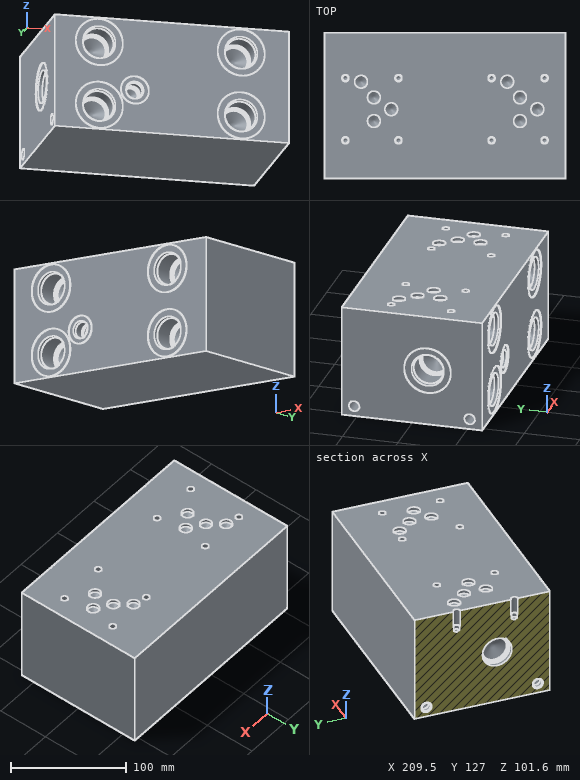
import cadquery as cq
import math

length = 209.5
depth = 127.0
height = 101.6

station_pitch = 127.0
station_offsets = (0.0, station_pitch)

drill_point_angle = 118.0

large_port = dict(
    spotface_diameter=42.1, spotface_depth=0.8,
    seat_diameter=29.1, seat_end_diameter=27.5, seat_depth=3.4,
    steps=((27.0, 22.2), (25.0, 23.5), (23.0, 25.1)),
)
gauge_port = dict(
    spotface_diameter=25.0, spotface_depth=0.8,
    seat_diameter=15.7, seat_end_diameter=14.5, seat_depth=2.5,
    steps=((14.2, 12.0), (13.0, 13.6), (12.4, 16.8)),
)

work_port_x = 39.8
port_a_z = 22.2
port_b_z = 79.5
gauge_port_x = 71.7
gauge_port_z = 38.1
pressure_port_y = 49.5
pressure_port_z = 50.7

valve_center_x = 41.3
valve_center_y = 60.4
bolt_spacing_x = 46.0
bolt_spacing_y = 54.0
bolt_steps = ((6.0, 16.0), (5.0, 20.0))
passage_steps = ((11.1, 3.8),)
passage_ab_x = 1.7
passage_ab_y = 10.3
passage_p_x = 16.8
passage_t_x = -9.5
passage_t_y = 23.9

mount_inset_y = 11.3
mount_z = 9.5
mount_steps = ((9.5, 18.9), (8.0, 23.0))


def revolved_cutter(profile):
    """Revolve (radius, depth) points about Z, with the mouth at the origin and depth running down."""
    points = [(radius, -level) for radius, level in profile]
    return cq.Workplane("XZ").polyline(points).close().revolve(360, (0, 0), (0, 1))


def stepped_profile(steps, start=0.0):
    """Profile of coaxial (diameter, end depth) steps finished by a conical drill point."""
    profile = []
    level = start
    for diameter, end in steps:
        profile += [(diameter / 2, level), (diameter / 2, end)]
        level = end
    last_radius = steps[-1][0] / 2
    point_length = last_radius / math.tan(math.radians(drill_point_angle / 2))
    return profile + [(0, level + point_length)]


def drilled_hole(steps):
    """Blind stepped hole with a conical end."""
    return revolved_cutter([(0, 0)] + stepped_profile(steps))


def threaded_port(spotface_diameter, spotface_depth, seat_diameter, seat_end_diameter, seat_depth, steps):
    """Spotfaced port with a tapering seal seat above its stepped threaded bore."""
    seat_end = spotface_depth + seat_depth
    mouth = [
        (0, 0),
        (spotface_diameter / 2, 0),
        (spotface_diameter / 2, spotface_depth),
        (seat_diameter / 2, spotface_depth),
        (seat_end_diameter / 2, seat_end),
    ]
    return revolved_cutter(mouth + stepped_profile(steps, seat_end))


def on_front(cutter, x, z):
    """Place a cutter on the Y = 0 face, cutting toward +Y."""
    return cutter.rotate((0, 0, 0), (1, 0, 0), 90).translate((x, 0, z))


def on_end(cutter, y, z):
    """Place a cutter on the X = 0 face, cutting toward +X."""
    return cutter.rotate((0, 0, 0), (0, 1, 0), -90).translate((0, y, z))


def on_top(cutter, x, y):
    """Place a cutter on the top face, cutting down."""
    return cutter.translate((x, y, height))


result = cq.Workplane("XY").box(length, depth, height, centered=False)

for offset in station_offsets:
    for port_z in (port_a_z, port_b_z):
        result = result.cut(on_front(threaded_port(**large_port), work_port_x + offset, port_z))

result = result.cut(on_front(threaded_port(**gauge_port), gauge_port_x, gauge_port_z))

result = result.cut(on_end(threaded_port(**large_port), pressure_port_y, pressure_port_z))

for mount_y in (mount_inset_y, depth - mount_inset_y):
    result = result.cut(on_end(drilled_hole(mount_steps), mount_y, mount_z))

passages = (
    (passage_ab_x, -passage_ab_y),
    (passage_ab_x, passage_ab_y),
    (passage_p_x, 0.0),
    (passage_t_x, passage_t_y),
)
bolts = [(sx * bolt_spacing_x / 2, sy * bolt_spacing_y / 2) for sx in (-1, 1) for sy in (-1, 1)]
for offset in station_offsets:
    center_x = valve_center_x + offset
    for dx, dy in passages:
        result = result.cut(on_top(drilled_hole(passage_steps), center_x + dx, valve_center_y + dy))
    for dx, dy in bolts:
        result = result.cut(on_top(drilled_hole(bolt_steps), center_x + dx, valve_center_y + dy))